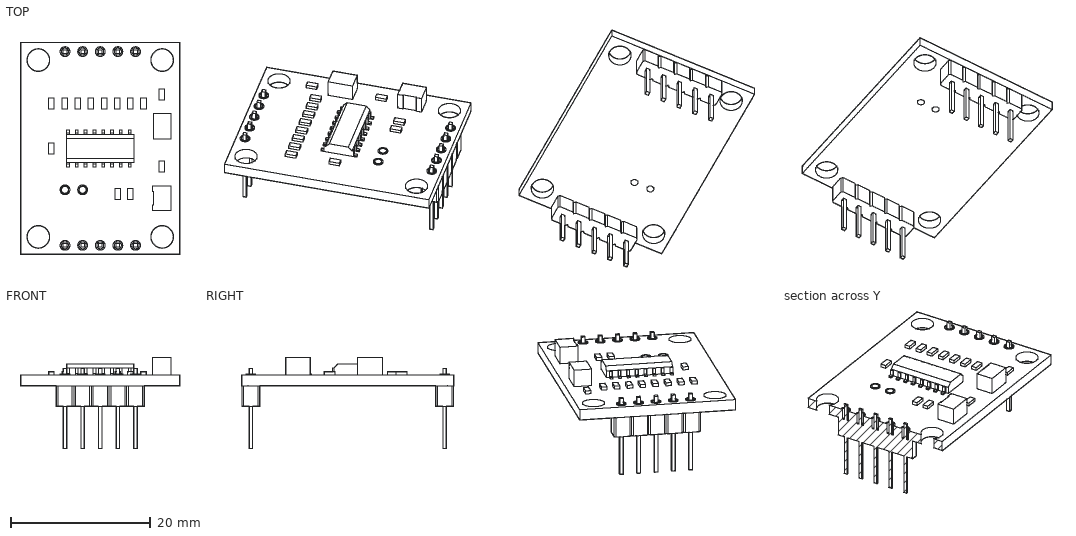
import cadquery as cq


BOARD_X = 22.87
BOARD_Y = 30.5
BOARD_THICKNESS = 1.6
MOUNT_HOLE_D = 3.2
MOUNT_HOLE_X = 8.9
MOUNT_HOLE_Y = 12.7

PAD_D = 1.4
PAD_HOLE_D = 1.0
PAD_HEIGHT = 0.1

PINS_PER_HEADER = 5
HEADER_LENGTH = 12.68
PIN_PITCH = HEADER_LENGTH / PINS_PER_HEADER
CELL_DEPTH = 2.6
CELL_CHAMFER = 0.25
HEADER_HEIGHT = 2.95
PIN_SIDE = 0.52
PIN_TOP = 0.9
HEADER_INSET = 0.015
HEADER_Y = BOARD_Y / 2 - HEADER_INSET - CELL_DEPTH / 2
PIN_XS = [(i - (PINS_PER_HEADER - 1) / 2) * PIN_PITCH for i in range(PINS_PER_HEADER)]
PIN_POINTS = [(x, y) for x in PIN_XS for y in (-HEADER_Y, HEADER_Y)]

OPEN_PAD_Y = -5.95
OPEN_PAD_POINTS = [(x, OPEN_PAD_Y) for x in PIN_XS[:2]]

BLOCK_HEIGHT = 2.5
BLOCK_RIGHT = 10.18
BLOCK_X = 2.55
PLAIN_BLOCK_LENGTH = 3.65
PLAIN_BLOCK_Y = 3.2
STEPPED_BLOCK_LENGTH = 3.57
STEPPED_BLOCK_Y = -7.15
STEP_DEPTH = 0.12
STEP_GAP_Y = 1.95

OVERALL_HEIGHT = 13.1
PIN_BOTTOM = BLOCK_HEIGHT - OVERALL_HEIGHT

IC_X = 9.7
IC_HALF_Y = 3.95 / 2
IC_TOP_HALF_Y = 2.85 / 2
IC_HEIGHT = 1.6
IC_BEVEL_Z = 1.0
LEADS_PER_SIDE = 8
LEAD_PITCH = PIN_PITCH / 2
LEAD_WIDTH = 0.4
LEAD_THICKNESS = 0.2
LEAD_REACH = 2.68
LEAD_WALL = 0.25
FIRST_LEAD_X = (LEAD_WIDTH - IC_X) / 2

CHIP_X = 0.8
CHIP_Y = 1.6
CHIP_HEIGHT = 0.45
CHIP_ROW_COUNT = 8
CHIP_ROW_PITCH = 1.9
CHIP_ROW_START_X = -7.0
CHIP_ROW_Y = 6.5
CHIP_ROW = [(CHIP_ROW_START_X + i * CHIP_ROW_PITCH, CHIP_ROW_Y) for i in range(CHIP_ROW_COUNT)]
LOOSE_CHIPS = [
    (CHIP_ROW_START_X, 0.0),
    (8.85, 7.75),
    (8.85, -2.6),
    (2.5, -6.52),
    (4.33, -6.52),
]


def make_board():
    """Board with plated rings, mounting holes and pin holes."""
    mount_points = [(x, y) for x in (-MOUNT_HOLE_X, MOUNT_HOLE_X) for y in (-MOUNT_HOLE_Y, MOUNT_HOLE_Y)]
    pad_points = PIN_POINTS + OPEN_PAD_POINTS
    board = cq.Workplane("XY").rect(BOARD_X, BOARD_Y).extrude(-BOARD_THICKNESS)
    rings = cq.Workplane("XY").pushPoints(pad_points).circle(PAD_D / 2).extrude(PAD_HEIGHT)
    board = board.union(rings)
    cutter_top = cq.Workplane("XY").workplane(offset=PAD_HEIGHT)
    cut_depth = BOARD_THICKNESS + PAD_HEIGHT
    pad_holes = cutter_top.pushPoints(pad_points).circle(PAD_HOLE_D / 2).extrude(-cut_depth)
    mount_holes = cutter_top.pushPoints(mount_points).circle(MOUNT_HOLE_D / 2).extrude(-cut_depth)
    return board.cut(pad_holes).cut(mount_holes)


def make_header(y):
    """Row of corner-chamfered cells under the board, each with a square pin."""
    points = [(x, y) for x in PIN_XS]
    base = cq.Workplane("XY").workplane(offset=-BOARD_THICKNESS)
    cell = base.rect(PIN_PITCH, CELL_DEPTH).extrude(-HEADER_HEIGHT).edges("|Z").chamfer(CELL_CHAMFER)
    pins = (
        cq.Workplane("XY")
        .workplane(offset=PIN_BOTTOM)
        .pushPoints(points)
        .rect(PIN_SIDE, PIN_SIDE)
        .extrude(PIN_TOP - PIN_BOTTOM)
    )
    header = pins
    for x, cell_y in points:
        header = header.union(cell.translate((x, cell_y, 0)))
    return header


def make_ic():
    """Bevelled body and its two rows of leads."""
    body = (
        cq.Workplane("YZ")
        .polyline([
            (-IC_HALF_Y, 0),
            (-IC_HALF_Y, IC_BEVEL_Z),
            (-IC_TOP_HALF_Y, IC_HEIGHT),
            (IC_TOP_HALF_Y, IC_HEIGHT),
            (IC_HALF_Y, IC_BEVEL_Z),
            (IC_HALF_Y, 0),
        ])
        .close()
        .extrude(IC_X / 2, both=True)
    )
    wall_y = IC_HALF_Y + LEAD_WALL
    lead_pair = (
        cq.Workplane("YZ")
        .polyline([
            (-LEAD_REACH, 0),
            (-LEAD_REACH, LEAD_THICKNESS),
            (-wall_y, LEAD_THICKNESS),
            (-wall_y, IC_BEVEL_Z),
            (wall_y, IC_BEVEL_Z),
            (wall_y, LEAD_THICKNESS),
            (LEAD_REACH, LEAD_THICKNESS),
            (LEAD_REACH, 0),
        ])
        .close()
        .extrude(LEAD_WIDTH / 2, both=True)
    )
    for i in range(LEADS_PER_SIDE):
        body = body.union(lead_pair.translate((FIRST_LEAD_X + i * LEAD_PITCH, 0, 0)))
    return body


def make_chips():
    """All small flat chips."""
    return cq.Workplane("XY").pushPoints(CHIP_ROW + LOOSE_CHIPS).rect(CHIP_X, CHIP_Y).extrude(CHIP_HEIGHT)


def make_plain_block():
    """Tall rectangular block."""
    center_x = BLOCK_RIGHT - BLOCK_X / 2
    return (
        cq.Workplane("XY")
        .center(center_x, PLAIN_BLOCK_Y)
        .rect(BLOCK_X, PLAIN_BLOCK_LENGTH)
        .extrude(BLOCK_HEIGHT)
    )


def make_stepped_block():
    """Tall block with a shallow full-height recess in its -X face."""
    length_x = BLOCK_X + STEP_DEPTH
    left = BLOCK_RIGHT - length_x
    outer = (
        cq.Workplane("XY")
        .center(left + length_x / 2, STEPPED_BLOCK_Y)
        .rect(length_x, STEPPED_BLOCK_LENGTH)
        .extrude(BLOCK_HEIGHT)
    )
    recess = (
        cq.Workplane("XY")
        .center(left + STEP_DEPTH / 2, STEPPED_BLOCK_Y)
        .rect(STEP_DEPTH, STEP_GAP_Y)
        .extrude(BLOCK_HEIGHT)
    )
    return outer.cut(recess)


result = (
    make_board()
    .union(make_header(-HEADER_Y))
    .union(make_header(HEADER_Y))
    .union(make_ic())
    .union(make_chips())
    .union(make_plain_block())
    .union(make_stepped_block())
)